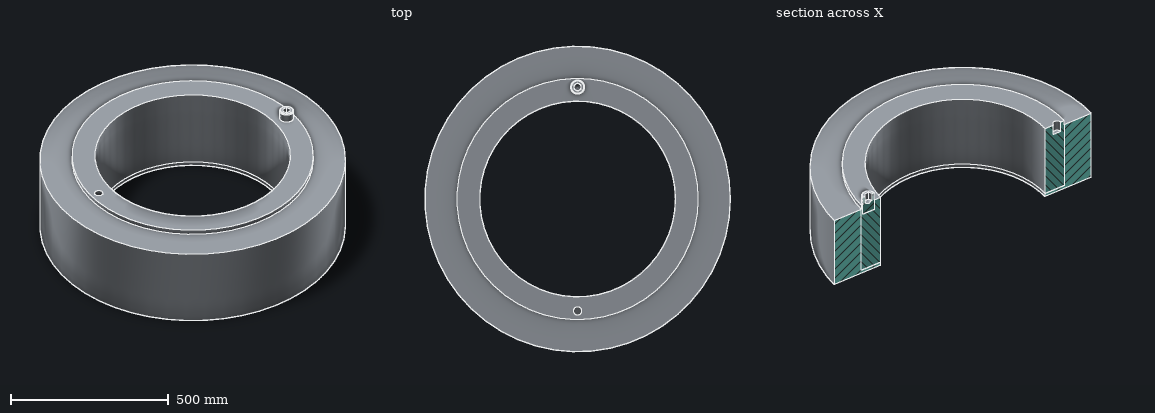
import cadquery as cq
import math

outer_diameter = 970.0
bore_diameter = 620.0
insert_diameter = 765.0
housing_height = 269.0
insert_projection = 16.5
insert_top = housing_height + insert_projection
lip_thickness = 15.0

feature_radius = 355.0
pin_diameter = 45.0
pin_top = 316.0
pin_seat_depth = 39.0
pin_chamfer = 3.0
socket_across_flats = 22.0
socket_across_corners = socket_across_flats / math.cos(math.radians(30))
socket_depth = 29.0
socket_tip_height = 8.0
plain_hole_diameter = 26.0
plain_hole_depth = 39.0

pin_bottom = insert_top - pin_seat_depth


def cylinder(diameter, bottom, top, y=0.0):
    """Upright cylinder centred on X = 0."""
    return cq.Workplane("XY", origin=(0, y, bottom)).circle(diameter / 2).extrude(top - bottom)


def make_housing():
    """Outer ring with a recess for the insert above a thin bottom lip."""
    body = cylinder(outer_diameter, 0, housing_height)
    recess = cylinder(insert_diameter, lip_thickness, housing_height)
    bore = cylinder(bore_diameter, 0, housing_height)
    return body.cut(recess).cut(bore)


def make_insert():
    """Inner ring standing proud of the housing, with a pin seat and a plain blind hole."""
    body = cylinder(insert_diameter, lip_thickness, insert_top)
    bore = cylinder(bore_diameter, lip_thickness, insert_top)
    pin_seat = cylinder(pin_diameter, pin_bottom, insert_top, feature_radius)
    plain_hole = cylinder(
        plain_hole_diameter, insert_top - plain_hole_depth, insert_top, -feature_radius
    )
    return body.cut(bore).cut(pin_seat).cut(plain_hole)


def make_pin():
    """Round pin with a chamfered top and a blind hexagon socket ending in a cone."""
    body = cylinder(pin_diameter, pin_bottom, pin_top, feature_radius)
    body = body.faces(">Z").edges().chamfer(pin_chamfer)
    socket_floor = pin_top - socket_depth
    hexagon = (
        cq.Workplane("XY", origin=(0, feature_radius, socket_floor))
        .transformed(rotate=(0, 0, 90))
        .polygon(6, socket_across_corners)
        .extrude(socket_depth)
    )
    tip = cq.Workplane(
        cq.Solid.makeCone(
            0,
            socket_across_flats / 2,
            socket_tip_height,
            pnt=cq.Vector(0, feature_radius, socket_floor - socket_tip_height),
        )
    )
    return body.cut(hexagon).cut(tip)


housing = make_housing()
insert = make_insert()
pin = make_pin()

result = cq.Compound.makeCompound([housing.val(), insert.val(), pin.val()])